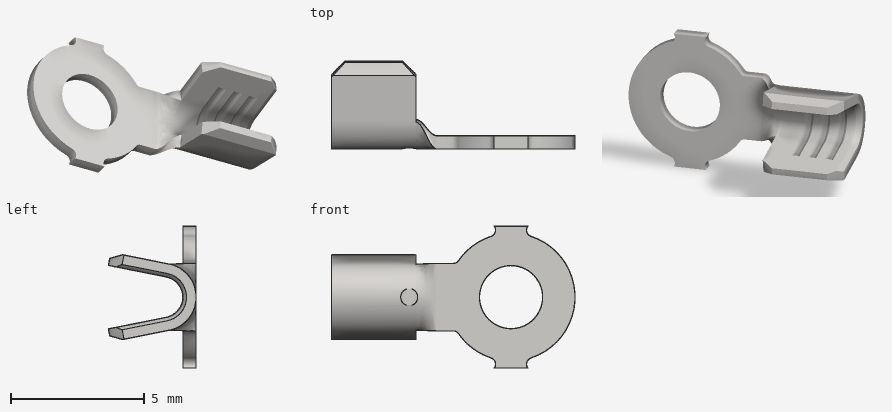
import cadquery as cq
import math

overall_length = 9.14
sheet = 0.5
body_half_width = 1.27

ring_radius = 2.4
hole_radius = 1.18
ring_x = overall_length - ring_radius
neck_start_x = 3.94
neck_fillet = 0.2
tab_height = 5.33
notch_radius = 0.25
notch_offset_x = 0.83

barrel_length = 3.17
arm_angle = math.radians(11.3)
arm_length = 2.22
tip_bevel_length = 0.45
tip_bevel_depth = 0.23
tip_corner = 0.5
mouth_chamfer_depth = 0.14
mouth_chamfer_length = 0.21

groove_count = 3
groove_first_x = 0.57
groove_pitch = 0.66
groove_width = 0.35
groove_depth = 0.11
groove_arm_reach = 1.21

flat_radius = 0.32
flat_x = 2.92
flat_depth = 0.04

blend_steps = 4

inner_radius = body_half_width - sheet


def arm_point(radius, along):
    """(y, z) at a distance along the upper arm, on the wall of the given bend radius."""
    y = body_half_width - radius * math.sin(arm_angle) + along * math.cos(arm_angle)
    z = radius * math.cos(arm_angle) + along * math.sin(arm_angle)
    return (y, z)


def mirrored(point):
    """The same (y, z) point on the lower half of the part."""
    return (point[0], -point[1])


def u_region(x, radius, reach):
    """Closed U-shaped outline, filled between its arms, on the plane at x."""
    start = arm_point(radius, 0)
    end = arm_point(radius, reach)
    return (
        cq.Workplane("YZ", origin=(x, 0, 0))
        .moveTo(*end)
        .lineTo(*start)
        .threePointArc((body_half_width - radius, 0), mirrored(start))
        .lineTo(*mirrored(end))
        .close()
    )


def make_ring():
    """Flat ring with its neck and two notched tabs."""
    body = cq.Workplane("XZ").center(ring_x, 0).circle(ring_radius).extrude(-sheet)
    neck = (
        cq.Workplane("XY")
        .box(ring_x - neck_start_x, sheet, 2 * body_half_width, centered=(False, False, True))
        .translate((neck_start_x, 0, 0))
    )
    notch_reach = ring_radius + notch_radius
    notch_z = math.sqrt(notch_reach**2 - notch_offset_x**2)
    tab_width = 2 * notch_offset_x * ring_radius / notch_reach
    tabs = (
        cq.Workplane("XY")
        .box(tab_width, sheet, tab_height, centered=(True, False, True))
        .translate((ring_x, 0, 0))
    )
    notches = (
        cq.Workplane("XZ")
        .center(ring_x, 0)
        .rect(2 * notch_offset_x, 2 * notch_z, forConstruction=True)
        .vertices()
        .circle(notch_radius)
        .extrude(-sheet)
    )
    hole = cq.Workplane("XZ").center(ring_x, 0).circle(hole_radius).extrude(-sheet)
    body = body.union(neck)
    corner_x = ring_x - math.sqrt(ring_radius**2 - body_half_width**2)
    for side in (1, -1):
        corner = (corner_x, sheet / 2, side * body_half_width)
        body = body.edges(cq.selectors.NearestToPointSelector(corner)).fillet(neck_fillet)
    return body.union(tabs).cut(notches).cut(hole)


def make_barrel():
    """Bent sheet whose arm tips are thinned by a bevel on the outside."""
    outer_start = arm_point(body_half_width, 0)
    inner_start = arm_point(inner_radius, 0)
    bevel_start = arm_point(body_half_width, arm_length - tip_bevel_length)
    outer_tip = arm_point(body_half_width - tip_bevel_depth, arm_length)
    inner_tip = arm_point(inner_radius, arm_length)
    return (
        cq.Workplane("YZ")
        .moveTo(*outer_start)
        .lineTo(*bevel_start)
        .lineTo(*outer_tip)
        .lineTo(*inner_tip)
        .lineTo(*inner_start)
        .threePointArc((sheet, 0), mirrored(inner_start))
        .lineTo(*mirrored(inner_tip))
        .lineTo(*mirrored(outer_tip))
        .lineTo(*mirrored(bevel_start))
        .lineTo(*mirrored(outer_start))
        .threePointArc((0, 0), outer_start)
        .close()
        .extrude(barrel_length)
    )


def make_tip_corners():
    """Wedges that cut the four arm corners at 45 degrees, square to each arm."""
    arm_plane = cq.Plane(
        origin=(0, *arm_point(body_half_width, arm_length)),
        xDir=(1, 0, 0),
        normal=(0, -math.sin(arm_angle), math.cos(arm_angle)),
    )
    wedges = cq.Workplane("XY")
    for x, inward in ((0, 1), (barrel_length, -1)):
        wedge = (
            cq.Workplane(arm_plane)
            .moveTo(x, 0)
            .lineTo(x + inward * tip_corner, 0)
            .lineTo(x, -tip_corner)
            .close()
            .extrude(-sheet)
        )
        wedges = wedges.add(wedge).add(wedge.mirror("XY"))
    return wedges.combine()


def make_mouth_chamfer():
    """Cutter that flares the inner edge of the wire entry."""
    wide = u_region(0, inner_radius + mouth_chamfer_depth, arm_length).val()
    narrow = u_region(mouth_chamfer_length, inner_radius, arm_length).val()
    return cq.Workplane(cq.Solid.makeLoft([wide, narrow], True))


def groove_outline(x, depth):
    """Section of a groove cutter at x, reaching the given depth into the inner wall."""
    return u_region(x, inner_radius + depth, groove_arm_reach).val()


def make_groove(x):
    """Cutter for one groove, deepening at 45 degrees from both of its long edges."""
    end_x = x + groove_width
    sections = [
        groove_outline(x, 0),
        groove_outline(x + groove_depth, groove_depth),
        groove_outline(end_x - groove_depth, groove_depth),
        groove_outline(end_x, 0),
    ]
    return cq.Workplane(cq.Solid.makeLoft(sections, True))


def blend_outline(step):
    """Section of the wall on its way from the full bend (step 0) to flat (last step)."""
    t = step / blend_steps
    bend = 1 - t * t * (3 - 2 * t)
    outer_y, outer_z = arm_point(body_half_width, 0)
    inner_y, inner_z = arm_point(inner_radius, 0)
    outer = (bend * outer_y, body_half_width + bend * (outer_z - body_half_width))
    inner = (sheet + bend * (inner_y - sheet), body_half_width + bend * (inner_z - body_half_width))
    x = barrel_length + t * (neck_start_x - barrel_length)
    outline = cq.Workplane("YZ", origin=(x, 0, 0)).moveTo(*outer).lineTo(*inner)
    if bend > 0:
        outline = outline.threePointArc((sheet, 0), mirrored(inner))
        outline = outline.lineTo(*mirrored(outer)).threePointArc((0, 0), outer)
    else:
        outline = outline.lineTo(*mirrored(inner)).lineTo(*mirrored(outer))
    return outline.close().val()


def make_blend():
    sections = [blend_outline(step) for step in range(blend_steps + 1)]
    return cq.Workplane(cq.Solid.makeLoft(sections))


def make_flat():
    return cq.Workplane("XZ").center(flat_x, 0).circle(flat_radius).extrude(-flat_depth)


barrel = make_barrel().cut(make_tip_corners()).cut(make_mouth_chamfer())
for i in range(groove_count):
    barrel = barrel.cut(make_groove(groove_first_x + i * groove_pitch))

result = make_ring().union(make_blend()).union(barrel).cut(make_flat())